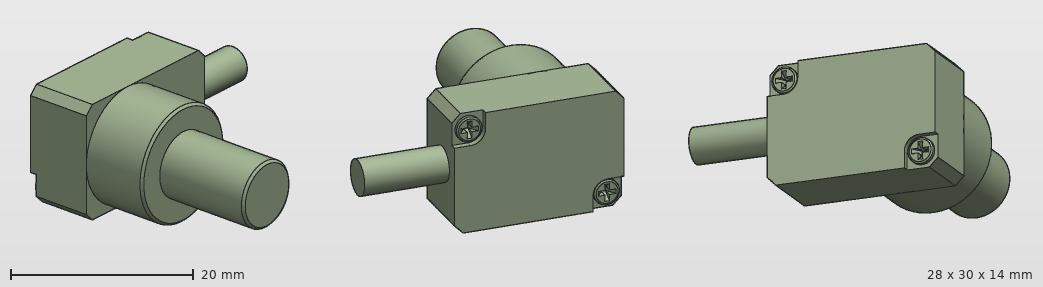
import cadquery as cq

housing_depth = 8.0
housing_width = 20.0
housing_height = 14.0
corner_chamfer = 1.02

boss_length = 7.98
boss_diameter = housing_height
boss_y = (boss_diameter - housing_width) / 2
stem_length = 12
stem_diameter = 8.0
edge_chamfer = 0.3

cable_length = 10.0
cable_diameter = 4.2
cable_x = 3.6

pocket_depth = 0.8
pocket_size = 3.65
screw_inset = 1.9
pocket_radius = pocket_size - screw_inset

head_radius = 1.5
head_height = 0.55
head_rim_height = 0.12
head_rim_width = 0.2
recess_half_length = 1.02
recess_half_width = 0.27
recess_depth = 1.2


def make_housing():
    return (
        cq.Workplane("YZ")
        .rect(housing_width, housing_height)
        .extrude(housing_depth)
        .edges("|X")
        .chamfer(corner_chamfer)
    )


def make_round_step(start_x, length, diameter):
    """Cylinder along +X with a chamfered outer end."""
    return (
        cq.Workplane("YZ", origin=(start_x, boss_y, 0))
        .circle(diameter / 2)
        .extrude(length)
        .faces(">X")
        .edges()
        .chamfer(edge_chamfer)
    )


def make_cable():
    return (
        cq.Workplane("XZ", origin=(cable_x, housing_width / 2, 0))
        .circle(cable_diameter / 2)
        .extrude(-cable_length)
    )


def make_pocket():
    """Cutter for the +Y +Z corner, with its inner corner rounded about the screw."""
    return (
        cq.Workplane("YZ")
        .center((housing_width - pocket_size) / 2, (housing_height - pocket_size) / 2)
        .rect(pocket_size, pocket_size)
        .extrude(pocket_depth)
        .edges("|X and <Y and <Z")
        .fillet(pocket_radius)
    )


def make_recess_arm():
    """Tapered blade along Y: longest at the head top, narrowing to the recess bottom."""
    top_x = pocket_depth - head_height
    bottom_x = top_x + recess_depth
    return (
        cq.Workplane("XY")
        .moveTo(top_x, -recess_half_length)
        .lineTo(top_x, recess_half_length)
        .lineTo(bottom_x, recess_half_width)
        .lineTo(bottom_x, -recess_half_width)
        .close()
        .extrude(recess_half_width, both=True)
    )


def make_recess():
    arm = make_recess_arm()
    return arm.union(arm.rotate((0, 0, 0), (1, 0, 0), 90))


def make_screw_head():
    """Screw head on the X axis, standing on the pocket floor and facing -X."""
    return (
        cq.Workplane("YZ", origin=(pocket_depth, 0, 0))
        .circle(head_radius)
        .extrude(-head_height)
        .faces("<X")
        .edges()
        .chamfer(head_rim_height, head_rim_width)
    )


result = (
    make_housing()
    .union(make_round_step(housing_depth, boss_length, boss_diameter))
    .union(make_round_step(housing_depth + boss_length, stem_length, stem_diameter))
    .union(make_cable())
)

pocket = make_pocket()
screw_head = make_screw_head()
recess = make_recess()
screw_y = housing_width / 2 - screw_inset
screw_z = housing_height / 2 - screw_inset
for side, turn in ((1, 0), (-1, 180)):
    screw_place = (0, side * screw_y, side * screw_z)
    result = result.cut(pocket.rotate((0, 0, 0), (1, 0, 0), turn))
    result = result.union(screw_head.translate(screw_place))
    result = result.cut(recess.translate(screw_place))